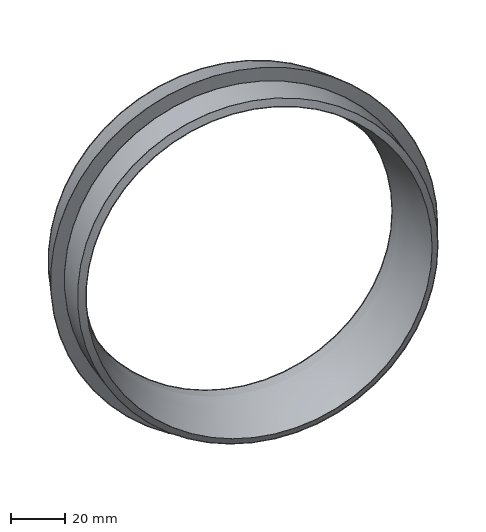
import cadquery as cq
import math

length = 34.0

rim_front_diameter = 141.2
rim_back_diameter = 150.0
rim_back_position = 16.6
face_rise = 0.6

sleeve_diameter = 139.6
bevel_length = 1.5
back_edge_diameter = 134.1

mouth_diameter = 125.7
throat_diameter = 125.0
throat_position = 6.8


def flare_middle():
    """Point halfway along the flare arc, which starts parallel to the axis."""
    flare_length = length - throat_position
    flare_depth = (back_edge_diameter - throat_diameter) / 2
    flare_radius = (flare_length**2 + flare_depth**2) / (2 * flare_depth)
    half_angle = math.asin(flare_length / flare_radius) / 2
    return (
        throat_position + flare_radius * math.sin(half_angle),
        throat_diameter / 2 + flare_radius * (1 - math.cos(half_angle)),
    )


profile = (
    cq.Workplane("XY")
    .moveTo(0, mouth_diameter / 2)
    .lineTo(face_rise, rim_front_diameter / 2)
    .lineTo(rim_back_position, rim_back_diameter / 2)
    .lineTo(rim_back_position + face_rise, sleeve_diameter / 2)
    .lineTo(length - bevel_length, sleeve_diameter / 2)
    .lineTo(length, back_edge_diameter / 2)
    .threePointArc(flare_middle(), (throat_position, throat_diameter / 2))
    .close()
)

result = profile.revolve(360, (0, 0, 0), (1, 0, 0))